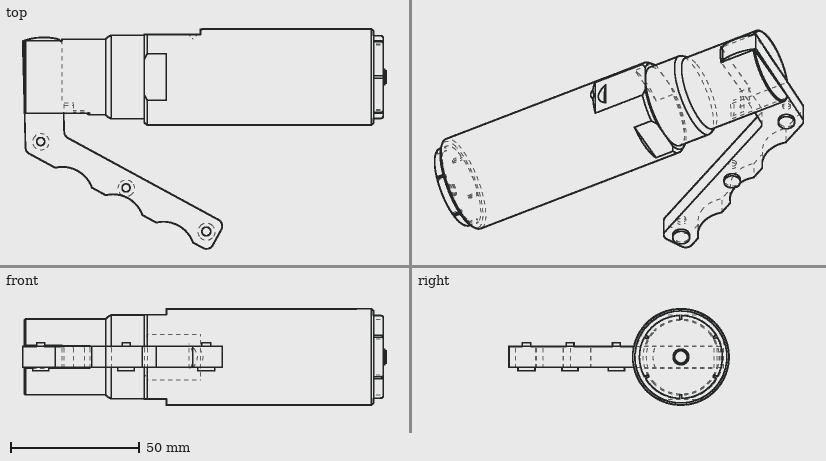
import cadquery as cq
import math


NOSE_RADIUS = 29.7 / 2
COLLAR_RADIUS = 32.8 / 2
GRIP_RADIUS = 37.6 / 2
NOSE_START = 0.7
NOSE_BEVEL = 0.4
COLLAR_START = 32.4
COLLAR_STEP_RADIUS = 15.8
COLLAR_STEP_END = 33.4
COLLAR_FULL = 34.7
GRIP_START = 47.5
GRIP_BEVEL_LENGTH = 1.3
GRIP_BEVEL_DEPTH = 1.0
GRIP_END = 137.0
GRIP_END_BEVEL = 0.9

CAP_RADIUS = 16.2
CAP_END = 140.9
CAP_ROUND = 1.1
NOTCH_COUNT = 6
NOTCH_WIDTH = 0.9
NOTCH_DEPTH = 1.4
BUTTON_BASE_RADIUS = 6.1 / 2
BUTTON_BASE_END = 141.3
BUTTON_RADIUS = 4.8 / 2
BUTTON_END = 142.0

WRENCH_FLAT_DISTANCE = 16.5
WRENCH_FLAT_END = 56.1
SIDE_FLAT_DISTANCE = 16.6
SIDE_FLAT_END = 69.5

RELIEF_RADIUS = 13.8 / 2
RELIEF_LENGTH = 8.5
RELIEF_RIM_DEPTH = 0.9

SLOT_WIDTH = 8.8
SLOT_SHORT_END = 15.3
SLOT_LONG_END = 26.1
CORE_NECK_RADIUS = 21.9 / 2
CORE_RADIUS = 27.3 / 2
CORE_START = 19.7
CORE_TAPER_START = 24.1

LEVER_THICKNESS = 8.2
LEVER_TILT = 1.5
HEAD_CORNER_Y = 14.0
HEAD_WIDTH = 15.3
HEAD_CROWN = 1.3
HEAD_ROUND = 2.8
HEAD_LENGTH = 37.5
ARM_ANGLE = 30.0
ARM_WIDTH = 12.6
ARM_LENGTH = 71.3
ARM_CORNER_ROUND = 2.8

SCALLOP_RADIUS = 24.5 / 2
SCALLOP_DEPTH = 3.1
SCALLOP_FIRST = 11.0
SCALLOP_PITCH = 22.5
SCALLOP_COUNT = 3

PINS = [
    (-7.1, 3.1, 6.4),
    (30.8, 3.1, 6.4),
    (66.5, 3.4, 6.7),
]
PIN_RISE = 1.4
PIN_HEAD_HEIGHT = 1.3


def block(x_range, y_range, z_range):
    """Box given by its limits along each axis."""
    size = [high - low for low, high in (x_range, y_range, z_range)]
    corner = (x_range[0], y_range[0], z_range[0])
    return cq.Workplane("XY").box(*size, centered=False).translate(corner)


def stepped_body():
    """Nose, collar, grip, cap and button as one turned profile."""
    round_middle = CAP_ROUND * (1 - math.sqrt(0.5))
    profile = (
        cq.Workplane("XY")
        .moveTo(NOSE_START, 0)
        .lineTo(NOSE_START, NOSE_RADIUS - NOSE_BEVEL)
        .lineTo(NOSE_START + NOSE_BEVEL, NOSE_RADIUS)
        .lineTo(COLLAR_START, NOSE_RADIUS)
        .lineTo(COLLAR_STEP_END, COLLAR_STEP_RADIUS)
        .lineTo(COLLAR_FULL, COLLAR_RADIUS)
        .lineTo(GRIP_START, COLLAR_RADIUS)
        .lineTo(GRIP_START, GRIP_RADIUS - GRIP_BEVEL_DEPTH)
        .lineTo(GRIP_START + GRIP_BEVEL_LENGTH, GRIP_RADIUS)
        .lineTo(GRIP_END - GRIP_END_BEVEL, GRIP_RADIUS)
        .lineTo(GRIP_END, GRIP_RADIUS - GRIP_END_BEVEL)
        .lineTo(GRIP_END, CAP_RADIUS)
        .lineTo(CAP_END - CAP_ROUND, CAP_RADIUS)
        .threePointArc(
            (CAP_END - round_middle, CAP_RADIUS - round_middle),
            (CAP_END, CAP_RADIUS - CAP_ROUND),
        )
        .lineTo(CAP_END, BUTTON_BASE_RADIUS)
        .lineTo(BUTTON_BASE_END, BUTTON_BASE_RADIUS)
        .lineTo(BUTTON_BASE_END, BUTTON_RADIUS)
        .lineTo(BUTTON_END, BUTTON_RADIUS)
        .lineTo(BUTTON_END, 0)
        .close()
    )
    return profile.revolve(360, (0, 0, 0), (1, 0, 0))


def cut_flats(body):
    """Wrench flats above and below, and one longer flat on the +Y side."""
    reach = (-GRIP_RADIUS, GRIP_RADIUS)
    wrench_span = (GRIP_START, WRENCH_FLAT_END)
    side_span = (GRIP_START, SIDE_FLAT_END)
    body = body.cut(block(wrench_span, reach, (WRENCH_FLAT_DISTANCE, GRIP_RADIUS)))
    body = body.cut(block(wrench_span, reach, (-GRIP_RADIUS, -WRENCH_FLAT_DISTANCE)))
    return body.cut(block(side_span, (SIDE_FLAT_DISTANCE, GRIP_RADIUS), reach))


def cut_step_relief(body):
    """Scoop in the rim of the side-flat step, made by a round cutter tilted 45 degrees."""
    slope = math.sqrt(0.5)
    center = cq.Vector(
        SIDE_FLAT_END - RELIEF_RADIUS * slope,
        GRIP_RADIUS - RELIEF_RIM_DEPTH + RELIEF_RADIUS * slope,
        0,
    )
    direction = cq.Vector(slope, slope, 0)
    start = center - direction * (RELIEF_LENGTH / 2)
    cutter = cq.Solid.makeCylinder(RELIEF_RADIUS, RELIEF_LENGTH, start, direction)
    return body.cut(cq.Workplane(cutter))


def cut_cap_notches(body):
    """Evenly spaced radial notches around the rim of the end cap."""
    half = NOTCH_WIDTH / 2
    notch = block((GRIP_END, CAP_END), (-half, half), (CAP_RADIUS - NOTCH_DEPTH, GRIP_RADIUS))
    for index in range(NOTCH_COUNT):
        angle = index * 360 / NOTCH_COUNT
        body = body.cut(notch.rotate((0, 0, 0), (1, 0, 0), angle))
    return body


def slot_core():
    """Neck and core on the body axis, flaring out to the nose surface at the slot end."""
    profile = (
        cq.Workplane("XY")
        .moveTo(SLOT_SHORT_END, 0)
        .lineTo(SLOT_SHORT_END, CORE_NECK_RADIUS)
        .lineTo(CORE_START, CORE_NECK_RADIUS)
        .lineTo(CORE_START, CORE_RADIUS)
        .lineTo(CORE_TAPER_START, CORE_RADIUS)
        .lineTo(SLOT_LONG_END, NOSE_RADIUS)
        .lineTo(SLOT_LONG_END, 0)
        .close()
    )
    return profile.revolve(360, (0, 0, 0), (1, 0, 0))


def cut_lever_slot(body):
    """Slot through the nose, longer on the -Y side, where the core stays in place."""
    height = (-SLOT_WIDTH / 2, SLOT_WIDTH / 2)
    slot = block((0, SLOT_SHORT_END), (-GRIP_RADIUS, GRIP_RADIUS), height)
    slot = slot.union(block((0, SLOT_LONG_END), (-GRIP_RADIUS, 0), height))
    return body.cut(slot.cut(slot_core()))


def arm_frame(solid):
    """Move a solid from arm coordinates to the lever.

    In arm coordinates X runs along the inner edge from the bend and -Y crosses the arm.
    """
    turned = solid.rotate((0, 0, 0), (0, 0, 1), -ARM_ANGLE)
    return turned.translate((HEAD_WIDTH, HEAD_CORNER_Y - HEAD_LENGTH, 0))


def lever_blank():
    """Crowned head and straight arm, with rounded corners."""
    angle = math.radians(ARM_ANGLE)
    bend_y = HEAD_CORNER_Y - HEAD_LENGTH
    tip_x = HEAD_WIDTH + ARM_LENGTH * math.cos(angle)
    tip_y = bend_y - ARM_LENGTH * math.sin(angle)
    outer_tip_x = tip_x - ARM_WIDTH * math.sin(angle)
    outer_tip_y = tip_y - ARM_WIDTH * math.cos(angle)
    heel_y = outer_tip_y + outer_tip_x * math.tan(angle)
    blank = (
        cq.Workplane("XY")
        .workplane(offset=-LEVER_THICKNESS / 2)
        .moveTo(0, HEAD_CORNER_Y)
        .threePointArc((HEAD_WIDTH / 2, HEAD_CORNER_Y + HEAD_CROWN), (HEAD_WIDTH, HEAD_CORNER_Y))
        .lineTo(HEAD_WIDTH, bend_y)
        .lineTo(tip_x, tip_y)
        .lineTo(outer_tip_x, outer_tip_y)
        .lineTo(0, heel_y)
        .close()
        .extrude(LEVER_THICKNESS)
    )
    arm_corners = [(HEAD_WIDTH, bend_y), (tip_x, tip_y), (outer_tip_x, outer_tip_y), (0, heel_y)]
    for x, y in arm_corners:
        corner_edge = cq.selectors.NearestToPointSelector((x, y, 0))
        blank = blank.edges("|Z").edges(corner_edge).fillet(ARM_CORNER_ROUND)
    head_edge = cq.selectors.NearestToPointSelector((HEAD_WIDTH, HEAD_CORNER_Y, 0))
    return blank.edges("|Z").edges(head_edge).fillet(HEAD_ROUND)


def finger_scallops():
    """Cutters for the finger rests on the outer edge of the arm."""
    center_y = -(ARM_WIDTH - SCALLOP_DEPTH + SCALLOP_RADIUS)
    base = cq.Workplane("XY").workplane(offset=-LEVER_THICKNESS / 2)
    cutters = cq.Workplane("XY")
    for index in range(SCALLOP_COUNT):
        along = SCALLOP_FIRST + index * SCALLOP_PITCH
        scallop = base.center(along, center_y).circle(SCALLOP_RADIUS).extrude(LEVER_THICKNESS)
        cutters = cutters.union(scallop)
    return arm_frame(cutters)


def headed_pin(along, pin_diameter, head_diameter):
    """Pin standing above the arm, with a wider flat head below it."""
    bottom = -LEVER_THICKNESS / 2 - PIN_HEAD_HEIGHT
    top = LEVER_THICKNESS / 2 + PIN_RISE
    base = cq.Workplane("XY").workplane(offset=bottom).center(along, -ARM_WIDTH / 2)
    pin = base.circle(pin_diameter / 2).extrude(top - bottom)
    head = base.circle(head_diameter / 2).extrude(PIN_HEAD_HEIGHT)
    return arm_frame(pin.union(head))


def lever():
    """Complete lever, tilted into its resting position."""
    shape = lever_blank().cut(finger_scallops())
    for along, pin_diameter, head_diameter in PINS:
        shape = shape.union(headed_pin(along, pin_diameter, head_diameter))
    return shape.rotate((0, HEAD_CORNER_Y, 0), (0, HEAD_CORNER_Y, 1), LEVER_TILT)


handle_body = cut_step_relief(cut_flats(stepped_body()))
handle_body = cut_lever_slot(cut_cap_notches(handle_body))
result = handle_body.union(lever())